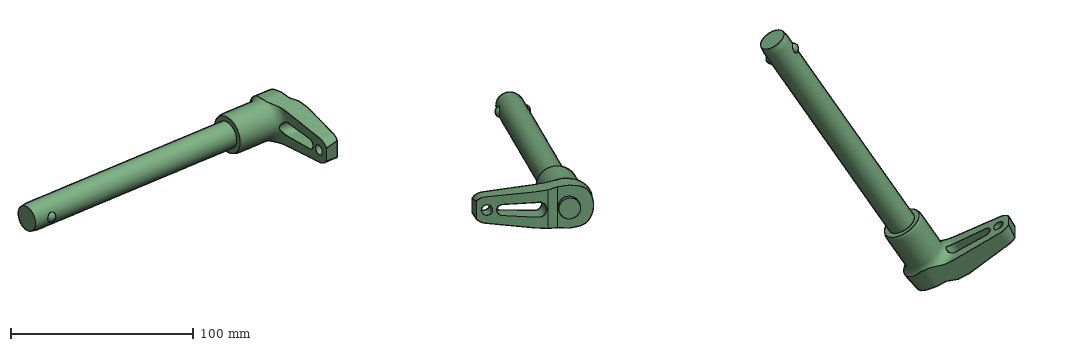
import cadquery as cq
import math

TOTAL_LENGTH = 186.2
SHANK_LENGTH = 144.0
BUTTON_TOP = TOTAL_LENGTH - SHANK_LENGTH

SHANK_RADIUS = 16.0 / 2
TIP_RADIUS = 7.5
TIP_LENGTH = 3.5

BALL_RADIUS = 3.2
BALL_REACH = 9.9
BALL_FROM_TIP = 11.2

COLLAR_RADIUS = 23.3 / 2
RIM_RADIUS = 11.0
RIM_HEIGHT = 1.7
BAND_HEIGHT = 3.7
BAND_RADIUS = 11.5
FLARE_START = 23.5
FLARE_RADIUS = 5.5
HANDLE_BOTTOM = FLARE_START + FLARE_RADIUS

BUTTON_RADIUS = 12.1 / 2

HEAD_RADIUS = 24.8 / 2
HEAD_REACH = 15.0
HEAD_BACK_RADIUS = 12.0
ARM_TIP_CENTER = 45.5
ARM_TIP_RADIUS = 7.6

HEAD_TOP = 39.1
HEAD_TOP_REACH = 14.0
HEAD_TAPER_START = 28.5
HEAD_TOP_END = 6.1
HUMP_START = 12.1
HUMP_END = 19.2
HUMP_TOP = 41.5
ARM_END_TOP = 36.1
ARM_END_BOTTOM = 27.4
ARM_END_X = 52.0
ARM_END_SLANT = 1.0

SLOT_START = 12.7
SLOT_END = 39.8
SLOT_START_RADIUS = 4.3
SLOT_END_RADIUS = 3.2
HOLE_CENTER = 45.2
HOLE_RADIUS = 3.0


def tapered_capsule(x_start, r_start, x_end, r_end):
    """Region in X and Z bounded by two circles and their common tangents, extruded along Y."""
    sin_slope = (r_start - r_end) / (x_end - x_start)
    cos_slope = math.sqrt(1 - sin_slope**2)

    def tangent_point(x, r, side):
        return (x + r * sin_slope, side * r * cos_slope)

    return (
        cq.Workplane("XZ", origin=(0, BUTTON_TOP, 0))
        .moveTo(*tangent_point(x_start, r_start, 1))
        .lineTo(*tangent_point(x_end, r_end, 1))
        .threePointArc((x_end + r_end, 0), tangent_point(x_end, r_end, -1))
        .lineTo(*tangent_point(x_start, r_start, -1))
        .threePointArc((x_start - r_start, 0), tangent_point(x_start, r_start, 1))
        .close()
        .extrude(BUTTON_TOP)
    )


def revolve_about_pin(profile):
    return profile.close().revolve(360, (0, 0, 0), (0, 1, 0))


def make_planform():
    """Rounded head and tapered arm as seen along the pin axis."""
    head = tapered_capsule(HEAD_BACK_RADIUS - HEAD_REACH, HEAD_BACK_RADIUS, 0, HEAD_RADIUS)
    arm = tapered_capsule(0, HEAD_RADIUS, ARM_TIP_CENTER, ARM_TIP_RADIUS)
    return head.union(arm)


def make_handle_profile():
    return (
        cq.Workplane("XY")
        .moveTo(-HEAD_REACH, HANDLE_BOTTOM)
        .lineTo(-HEAD_REACH, HEAD_TOP)
        .lineTo(HEAD_TOP_END, HEAD_TOP)
        .lineTo(HUMP_START, HUMP_TOP)
        .lineTo(HUMP_END, HUMP_TOP)
        .lineTo(ARM_END_X - ARM_END_SLANT, ARM_END_TOP)
        .lineTo(ARM_END_X, ARM_END_BOTTOM)
        .lineTo(COLLAR_RADIUS + FLARE_RADIUS, HANDLE_BOTTOM)
        .close()
        .extrude(HEAD_RADIUS, both=True)
    )


def make_head_taper():
    """Material outside the cone that narrows the back of the head towards its top."""
    outer_radius = 2 * HEAD_REACH
    ring = revolve_about_pin(
        cq.Workplane("XY")
        .moveTo(HEAD_REACH, HEAD_TAPER_START)
        .lineTo(HEAD_TOP_REACH, HEAD_TOP)
        .lineTo(outer_radius, HEAD_TOP)
        .lineTo(outer_radius, HEAD_TAPER_START)
    )
    back_half = cq.Workplane("XY").box(
        outer_radius, BUTTON_TOP, 2 * outer_radius, centered=(False, False, True)
    ).translate((-outer_radius, 0, 0))
    return ring.intersect(back_half)


def make_collar():
    flare_center_x = COLLAR_RADIUS + FLARE_RADIUS
    flare_offset = FLARE_RADIUS * math.sqrt(0.5)
    return revolve_about_pin(
        cq.Workplane("XY")
        .lineTo(RIM_RADIUS, 0)
        .lineTo(BAND_RADIUS, RIM_HEIGHT)
        .lineTo(COLLAR_RADIUS, BAND_HEIGHT)
        .lineTo(COLLAR_RADIUS, FLARE_START)
        .threePointArc(
            (flare_center_x - flare_offset, FLARE_START + flare_offset),
            (flare_center_x, HANDLE_BOTTOM),
        )
        .lineTo(0, HANDLE_BOTTOM)
    )


def make_shank():
    return revolve_about_pin(
        cq.Workplane("XY")
        .lineTo(SHANK_RADIUS, 0)
        .lineTo(SHANK_RADIUS, TIP_LENGTH - SHANK_LENGTH)
        .lineTo(TIP_RADIUS, -SHANK_LENGTH)
        .lineTo(0, -SHANK_LENGTH)
    )


def make_button():
    return cq.Workplane("XZ", origin=(0, BUTTON_TOP, 0)).circle(BUTTON_RADIUS).extrude(BUTTON_TOP - HANDLE_BOTTOM)


def make_ball(side):
    return cq.Workplane("XY").sphere(BALL_RADIUS).translate(
        (side * (BALL_REACH - BALL_RADIUS), BALL_FROM_TIP - SHANK_LENGTH, 0)
    )


slot = tapered_capsule(
    SLOT_START + SLOT_START_RADIUS, SLOT_START_RADIUS, SLOT_END - SLOT_END_RADIUS, SLOT_END_RADIUS
)
hole = cq.Workplane("XZ", origin=(HOLE_CENTER, BUTTON_TOP, 0)).circle(HOLE_RADIUS).extrude(BUTTON_TOP)
grip = make_handle_profile().union(make_collar()).intersect(make_planform())
grip = grip.cut(make_head_taper()).cut(slot).cut(hole)

result = grip.union(make_shank()).union(make_button())
for side in (-1, 1):
    result = result.union(make_ball(side))